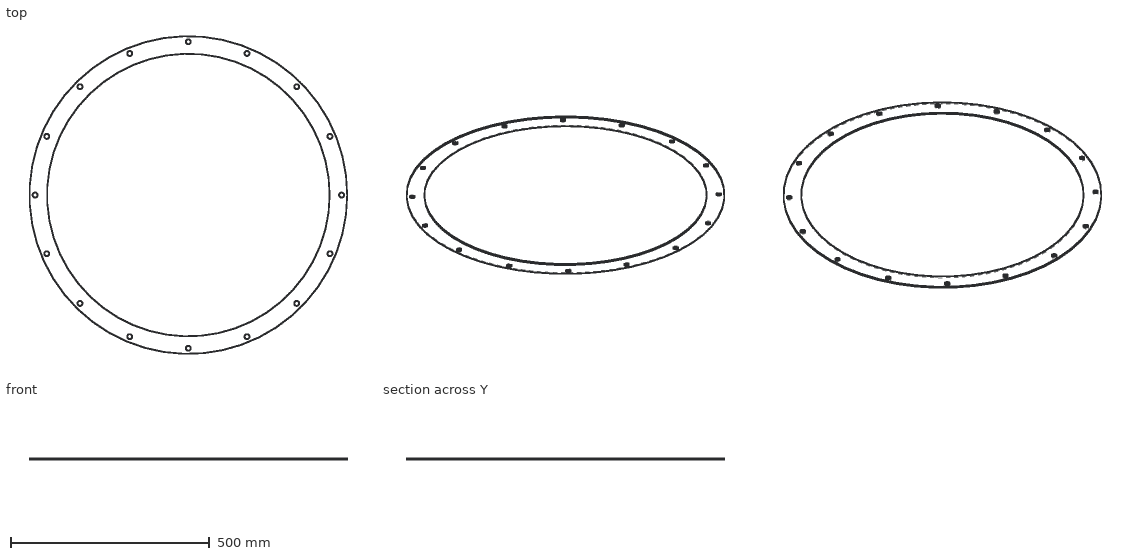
import cadquery as cq

outer_diameter = 800.0
inner_diameter = 710.0
thickness = 4.0

hole_count = 16
hole_diameter = 12.0
hole_circle_diameter = 771.0

ring = (
    cq.Workplane("XY")
    .circle(outer_diameter / 2)
    .circle(inner_diameter / 2)
    .extrude(thickness)
)

hole_cutters = (
    cq.Workplane("XY")
    .polarArray(hole_circle_diameter / 2, 0, 360, hole_count)
    .circle(hole_diameter / 2)
    .extrude(thickness)
)

result = ring.cut(hole_cutters)